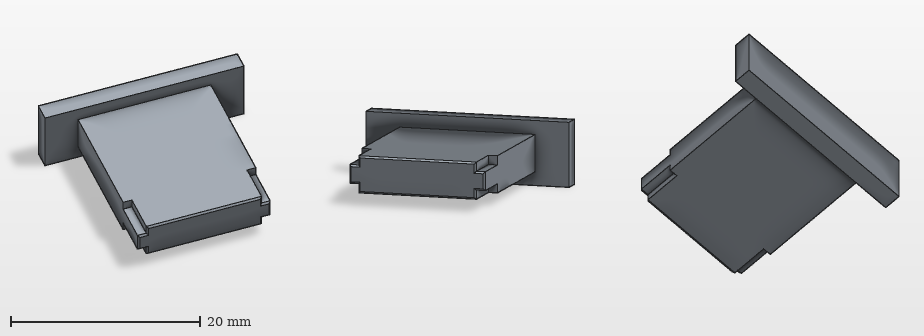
import cadquery as cq

flange_thickness = 2.0
flange_width = 22.5
flange_height = 7.0

total_length = 20.0
body_length = total_length - flange_thickness
body_width = 15.0
body_height = 4.0

step_length = 4.5
step_size = 1.0

tip_chamfer = 0.2


def make_flange():
    return cq.Workplane("XY").box(
        flange_thickness, flange_width, flange_height, centered=(False, True, True)
    )


def make_body():
    main_length = body_length - step_length
    main = cq.Workplane("XY").box(
        main_length, body_width, body_height, centered=(False, True, True)
    )
    wide_bar = cq.Workplane("XY").box(
        body_length, body_width, body_height - 2 * step_size, centered=(False, True, True)
    )
    tall_bar = cq.Workplane("XY").box(
        body_length, body_width - 2 * step_size, body_height, centered=(False, True, True)
    )
    body = main.union(wide_bar).union(tall_bar)
    body = body.faces(">X").chamfer(tip_chamfer)
    return body.translate((flange_thickness, 0, 0))


result = make_flange().union(make_body())